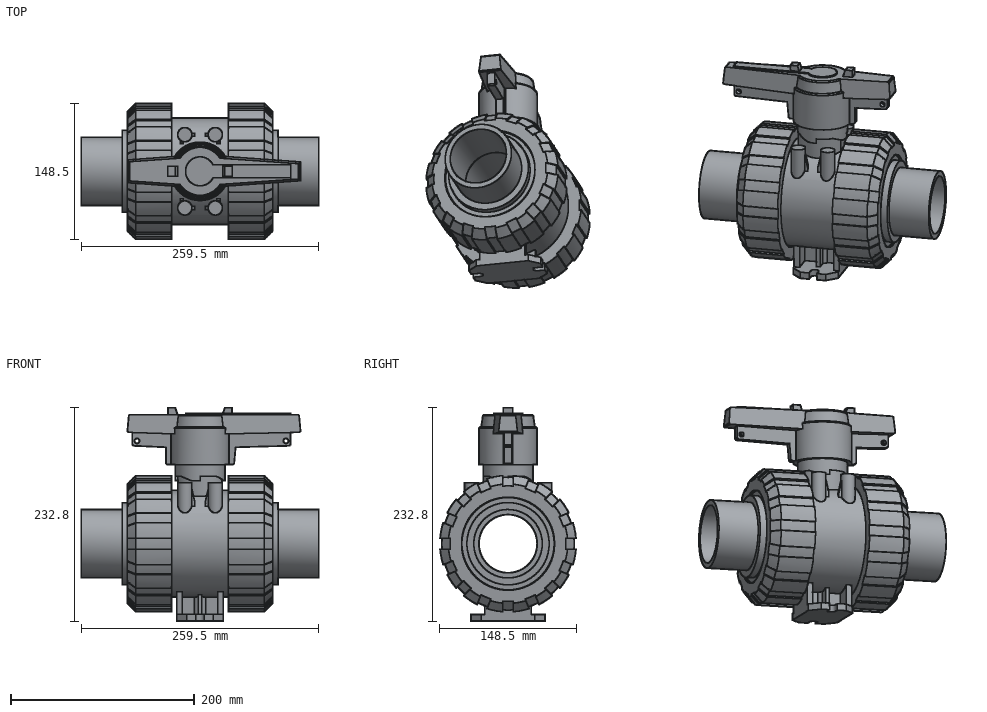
import cadquery as cq
import math


total_length = 259.5
bore_radius = 31.7
pipe_radius = 37.4
flange_radius = 45.0
flange_face_x = 85.0
shoulder_radius = 50.3
shoulder_recess = 2.0

nut_inner_x = 31.0
nut_outer_x = 79.5
nut_radius = 74.5
nut_chamfer = 9.3
nut_lip = 9.3
nut_lip_bore_radius = 50.9
nut_bore_radius = 60.2
groove_count = 16
groove_width = 11.7
groove_depth = 2.0

body_radius = 58.5
body_end_x = 62.3
neck_radius = 27.2
neck_half_width = 24.1
post_radius = 7.8
post_x = 16.5
post_y = 40.0
post_top_z = 66.7
fin_width = 3.6
fin_reach = 3.0
fin_top_z = 59.2
fin_foot_z = 45.7
side_fin_x = 20.0

foot_half_x = 25.5
foot_half_y = 25.5
foot_bottom_z = -84.3
foot_plate_thickness = 7.3
foot_plate_half_y = 40.5
foot_corner_x = 11.2
foot_corner_y = 11.5
foot_slot_width = 8.8
foot_slot_depth = 12.2
foot_wall = 6.2
foot_web = 5.2
foot_boss_radius = 6.7
foot_rib_width = 4.2
foot_rib_half_y = 18.2

collar_low_z = 68.8
cam_rise = 5.0
cam_flat_angle = 40.0
cam_ramp_angle = 30.0
cam_count = 4
cam_core_radius = 13.0
hub_radius = 32.0
hub_bottom_z = 86.2
hub_shoulder_z = 127.5
hub_edge = 1.5
cap_bottom_radius = 29.5
cap_top_radius = 27.8
cap_edge = 1.5
handle_top_z = 141.0

arm_left_x = -79.5
arm_right_x = 109.8
arm_end_draft = 1.5
arm_end_bottom_z = 121.5
arm_hub_bottom_z = 120.0
arm_end_edge = 1.3
arm_half_width = 18.2
arm_side_draft = 2.3
arm_taper = 0.07

rib_width = 8.3
rib_root_width = 10.6
rib_left_x = -74.0
rib_right_x = 98.9
rib_end_z = 106.7
rib_hub_z = 105.0
rib_leg_x = 37.4
rib_leg_draft = 1.5
rib_corner = 1.5
rib_hole_radius = 2.5
rib_hole_inset = 5.2
rib_hole_z = 112.0

pointer_radius = 15.8
pointer_half_width = 7.0
pointer_end_x = 98.9
pointer_height = 1.3
tab_outer_x = 35.0
tab_top_inner_x = 27.0
tab_inner_x = 24.5
tab_width = 10.6
tab_top_z = 148.5

half_length = total_length / 2
nut_lip_x = nut_outer_x - nut_lip
foot_plate_top_z = foot_bottom_z + foot_plate_thickness


def cylinder_x(radius, start_x, end_x):
    """Cylinder on the flow axis."""
    return cq.Workplane("YZ").workplane(offset=start_x).circle(radius).extrude(end_x - start_x)


def cylinder_z(radius, start_z, end_z, x=0.0, y=0.0):
    """Upright cylinder."""
    return cq.Workplane("XY", origin=(x, y, start_z)).circle(radius).extrude(end_z - start_z)


def block(x_range, y_range, z_range):
    """Box given by its limits on each axis."""
    low, high = zip(x_range, y_range, z_range)
    size = [b - a for a, b in zip(low, high)]
    return cq.Workplane("XY").box(*size, centered=False).translate(low)


def plate_xz(points, width):
    """Outline in the XZ plane, extruded evenly to both sides of Y = 0."""
    return cq.Workplane("XZ").polyline(points).close().extrude(width / 2, both=True)


def nut_blank(outer_radius):
    """Revolved nut shape: chamfered rim, wide bore and a narrower lip at the outer face."""
    profile = [
        (nut_inner_x, nut_bore_radius),
        (nut_inner_x, outer_radius),
        (nut_outer_x - nut_chamfer, outer_radius),
        (nut_outer_x, outer_radius - nut_chamfer),
        (nut_outer_x, nut_lip_bore_radius),
        (nut_lip_x, nut_lip_bore_radius),
        (nut_lip_x, nut_bore_radius),
    ]
    return cq.Workplane("XY").polyline(profile).close().revolve(360, (0, 0, 0), (1, 0, 0))


def union_nut():
    """Nut on the +X end, with grip grooves that follow the chamfer."""
    grooves = cq.Workplane("XY")
    for i in range(groove_count):
        angle = 360 / groove_count * i
        slab = block((0, half_length), (-groove_width / 2, groove_width / 2), (0, half_length))
        grooves = grooves.add(slab.rotate((0, 0, 0), (1, 0, 0), angle))
    groove_slabs = grooves.combine()
    lands = nut_blank(nut_radius).cut(groove_slabs)
    return lands.union(nut_blank(nut_radius - groove_depth))


def end_connector():
    """Pipe end on the +X side: spigot, flange, shoulder and the collar held by the nut lip."""
    connector = cylinder_x(pipe_radius, body_end_x, half_length)
    connector = connector.union(cylinder_x(flange_radius, body_end_x, flange_face_x))
    connector = connector.union(cylinder_x(shoulder_radius, body_end_x, nut_outer_x - shoulder_recess))
    connector = connector.union(cylinder_x(body_radius, body_end_x, nut_lip_x))
    return connector.cut(cylinder_x(bore_radius, body_end_x, half_length))


def fin():
    """Upright gusset that points along +X from the Z axis."""
    profile = [
        (0, 0),
        (0, fin_top_z),
        (post_radius, fin_top_z),
        (post_radius + fin_reach, fin_foot_z),
        (post_radius + fin_reach, 0),
    ]
    return plate_xz(profile, fin_width)


def post():
    """Post at -X, -Y with one fin towards +X and one towards +Y."""
    shape = cylinder_z(post_radius, 0, post_top_z, -post_x, -post_y)
    shape = shape.union(fin().translate((-post_x, -post_y, 0)))
    side_fin = fin().rotate((0, 0, 0), (0, 0, 1), 90)
    return shape.union(side_fin.translate((-side_fin_x, -post_y, 0)))


def foot_plate():
    """Foot plate with cut corners and an open slot in each of its Y edges."""
    corner_x = foot_half_x - foot_corner_x
    corner_y = foot_plate_half_y - foot_corner_y
    outline = [
        (-foot_half_x, -corner_y),
        (-corner_x, -foot_plate_half_y),
        (corner_x, -foot_plate_half_y),
        (foot_half_x, -corner_y),
        (foot_half_x, corner_y),
        (corner_x, foot_plate_half_y),
        (-corner_x, foot_plate_half_y),
        (-foot_half_x, corner_y),
    ]
    plate = cq.Workplane("XY", origin=(0, 0, foot_bottom_z)).polyline(outline).close()
    plate = plate.extrude(foot_plate_thickness)
    slots = (
        cq.Workplane("XY", origin=(0, 0, foot_bottom_z))
        .pushPoints([(0, -foot_plate_half_y), (0, foot_plate_half_y)])
        .slot2D(2 * foot_slot_depth, foot_slot_width, 90)
        .extrude(foot_plate_thickness)
    )
    return plate.cut(slots)


def foot():
    """Mounting foot: plate, two end walls, a web between them, a cross rib and a boss."""
    upright = (foot_plate_top_z, 0)
    shape = foot_plate()
    for wall_x in (-foot_half_x, foot_half_x - foot_wall):
        wall = block((wall_x, wall_x + foot_wall), (-foot_half_y, foot_half_y), upright)
        shape = shape.union(wall)
    shape = shape.union(block((-foot_half_x, foot_half_x), (-foot_web / 2, foot_web / 2), upright))
    rib_x = (-foot_rib_width / 2, foot_rib_width / 2)
    shape = shape.union(block(rib_x, (-foot_rib_half_y, foot_rib_half_y), upright))
    return shape.union(cylinder_z(foot_boss_radius, *upright))


def cam_step():
    """Sector of the cam face: a level top that starts at +X, then a ramp down to the low level."""
    sector = (
        cq.Workplane("XZ")
        .rect(hub_radius, cam_rise, centered=False)
        .revolve(cam_flat_angle + cam_ramp_angle, (0, 0, 0), (0, 1, 0))
    )
    ramp_half = neck_radius * math.sin(math.radians(cam_ramp_angle / 2))
    above_ramp = (
        cq.Workplane("YZ")
        .polyline([(-ramp_half, cam_rise), (ramp_half, 0), (hub_radius, 0), (hub_radius, cam_rise)])
        .close()
        .extrude(2 * hub_radius)
        .rotate((0, 0, 0), (0, 0, 1), cam_flat_angle + cam_ramp_angle / 2)
    )
    return sector.cut(above_ramp).translate((0, 0, collar_low_z))


def cam_steps():
    """All the cam sectors, joined by a round core."""
    steps = cylinder_z(cam_core_radius, collar_low_z, collar_low_z + cam_rise)
    for i in range(cam_count):
        steps = steps.union(cam_step().rotate((0, 0, 0), (0, 0, 1), 360 / cam_count * i))
    return steps


def neck():
    """Stem neck with two flat sides and the cam steps on its top."""
    shape = cylinder_z(neck_radius, 0, collar_low_z).union(cam_steps())
    sides = (-neck_half_width, neck_half_width)
    envelope = cylinder_z(neck_radius, 0, hub_bottom_z)
    return shape.intersect(envelope).intersect(block(sides, (-neck_radius, neck_radius), (0, hub_bottom_z)))


def valve_body():
    """Barrel with the stem neck, four posts, the foot and the through bore."""
    shape = cylinder_x(body_radius, -body_end_x, body_end_x)
    shape = shape.union(neck())
    corner = post()
    row = corner.union(corner.mirror("YZ"))
    shape = shape.union(row).union(row.mirror("XZ"))
    shape = shape.union(foot())
    return shape.cut(cylinder_x(bore_radius, -body_end_x, body_end_x))


def handle_hub():
    """Collar, hub and cap, turned as one shape and seated on the cam steps of the neck."""
    profile = [
        (0, collar_low_z),
        (neck_radius, collar_low_z),
        (neck_radius, hub_bottom_z),
        (hub_radius, hub_bottom_z),
        (hub_radius, hub_shoulder_z - hub_edge),
        (hub_radius - hub_edge, hub_shoulder_z),
        (cap_bottom_radius, hub_shoulder_z),
        (cap_top_radius, handle_top_z - cap_edge),
        (cap_top_radius - cap_edge, handle_top_z),
        (0, handle_top_z),
    ]
    hub = cq.Workplane("XZ").polyline(profile).close().revolve(360, (0, 0, 0), (0, 1, 0))
    return hub.cut(cam_steps())


def arm_outline(inset):
    """Plan outline of the two arms, widest at the hub, drawn in by the inset at each side."""
    middle = arm_half_width - inset
    left = middle + arm_taper * arm_left_x
    right = middle - arm_taper * arm_right_x
    return [
        (arm_left_x, -left),
        (0, -middle),
        (arm_right_x, -right),
        (arm_right_x, right),
        (0, middle),
        (arm_left_x, left),
    ]


def handle_arms():
    """Both arms: side profile with drafted ends, narrowed towards the top and the ends."""
    side = [
        (arm_left_x + arm_end_edge, arm_end_bottom_z),
        (arm_left_x, arm_end_bottom_z + arm_end_edge),
        (arm_left_x + arm_end_draft, handle_top_z - arm_end_edge),
        (arm_left_x + arm_end_draft + arm_end_edge, handle_top_z),
        (arm_right_x - arm_end_draft - arm_end_edge, handle_top_z),
        (arm_right_x - arm_end_draft, handle_top_z - arm_end_edge),
        (arm_right_x, arm_end_bottom_z + arm_end_edge),
        (arm_right_x - arm_end_edge, arm_end_bottom_z),
        (hub_radius, arm_hub_bottom_z),
        (-hub_radius, arm_hub_bottom_z),
    ]
    drafted = (
        cq.Workplane("XY", origin=(0, 0, arm_hub_bottom_z))
        .polyline(arm_outline(0))
        .close()
        .workplane(offset=handle_top_z - arm_hub_bottom_z)
        .polyline(arm_outline(arm_side_draft))
        .close()
        .loft(ruled=True)
    )
    return plate_xz(side, 2 * arm_half_width).intersect(drafted)


def rib(end_x, leg_top_x):
    """Rib below one arm, with a leg beside the hub and a hole near its end."""
    side = math.copysign(1, end_x)
    profile = [
        (0, arm_end_bottom_z + arm_end_edge),
        (end_x, arm_end_bottom_z + arm_end_edge),
        (end_x, rib_end_z + rib_corner),
        (end_x - side * rib_corner, rib_end_z),
        (side * leg_top_x, rib_hub_z),
        (side * rib_leg_x, hub_bottom_z + rib_corner),
        (side * (rib_leg_x - rib_corner), hub_bottom_z),
        (0, hub_bottom_z),
    ]
    hole = (
        cq.Workplane("XZ", origin=(end_x - side * rib_hole_inset, 0, rib_hole_z))
        .circle(rib_hole_radius)
        .extrude(rib_width, both=True)
    )
    return plate_xz(profile, rib_width).cut(hole)


def rib_root():
    """Flat pad on the hub behind both ribs."""
    return block(
        (-hub_radius, hub_radius),
        (-rib_root_width / 2, rib_root_width / 2),
        (hub_bottom_z, arm_end_bottom_z),
    )


def pointer():
    """Raised disc with a bar along the +X arm."""
    top_z = handle_top_z + pointer_height
    disc = cylinder_z(pointer_radius, handle_top_z, top_z)
    bar = block((0, pointer_end_x), (-pointer_half_width, pointer_half_width), (handle_top_z, top_z))
    return disc.union(bar)


def tab():
    """Upright tab on the +X arm, sloped on the side of the hub."""
    profile = [
        (tab_inner_x, handle_top_z),
        (tab_top_inner_x, tab_top_z),
        (tab_outer_x, tab_top_z),
        (tab_outer_x, handle_top_z),
    ]
    return plate_xz(profile, tab_width)


def handle():
    """Hub, arms, ribs, pointer and tabs joined in one lever."""
    shape = handle_hub().union(handle_arms())
    shape = shape.union(rib(rib_left_x, rib_leg_x))
    shape = shape.union(rib(rib_right_x, rib_leg_x + rib_leg_draft))
    shape = shape.union(rib_root()).union(pointer())
    return shape.union(tab()).union(tab().mirror("YZ"))


body = valve_body()
lever = handle()
nuts = []
connectors = []
for turn in (0, 180):
    nuts.append(union_nut().rotate((0, 0, 0), (0, 0, 1), turn).val())
    connectors.append(end_connector().rotate((0, 0, 0), (0, 0, 1), turn).val())

result = cq.Compound.makeCompound([body.val(), lever.val(), *nuts, *connectors])